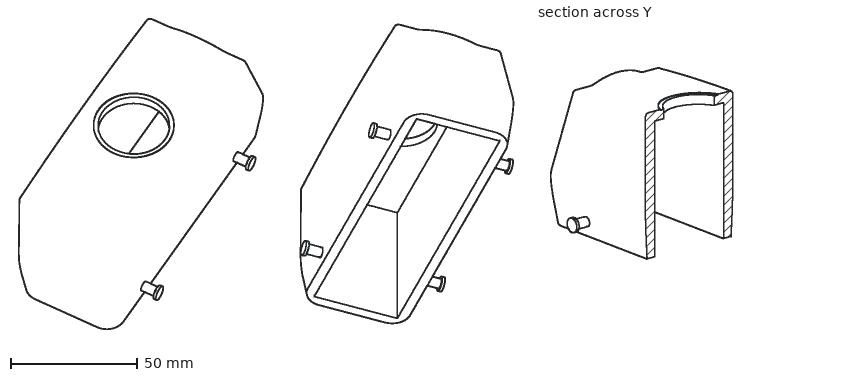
import cadquery as cq
import math

length = 120.0
half_length = length / 2
half_width = 22.7
wall = 4.1

skirt_height = 7.0
waist_height = 23.5
curve_steps = 12
loft_height = 66.0

side_arc_radius = 276.0
skirt_side_slope = (waist_height - skirt_height) / side_arc_radius

upper_corner = 1.9
skirt_corner = 5.4
base_corner = 7.7

roof_front = (-59.2, 58.8)
roof_apex = (-7.2, 61.2)
roof_back = (45.5, 59.0)
bend_height = 20.4
bend_radius = 12.0
slope_ratio = (half_length - roof_back[0]) / (roof_back[1] - bend_height)
slope_angle = math.atan(slope_ratio)
bend_tangent = bend_radius * math.tan(slope_angle / 2)
bend_start = bend_height - bend_tangent
bend_end = bend_height + bend_tangent * math.cos(slope_angle)
edge_radius = 1.8

entry_y = -5.8
entry_radius = 14.2
seat_radius = 16.0
seat_height = 60.8
ceiling_height = 56.8

grip_peak_height = 63.0
grip_radius = 24.0
grip_chord_depth = 5.4
grip_length = 14.4
grip_blend = 1.5

pin_y = 37.1
pin_height = 6.1
pin_radius = 2.0
head_radius = 3.0
head_thickness = 1.2
pin_reach = 29.5


def side_x(z):
    """Half width of the hood at height z."""
    if z >= waist_height:
        return half_width
    if z >= skirt_height:
        return half_width - (waist_height - z) ** 2 / (2 * side_arc_radius)
    return side_x(skirt_height) - skirt_side_slope * (skirt_height - z)


def front_y(z):
    """Position of the -Y end, drafted inward from the base up."""
    return -half_length + (roof_front[0] + half_length) * z / roof_front[1]


def slope_y(z):
    """Position of the sloped plane at height z."""
    return half_length - slope_ratio * (z - bend_height)


def back_y(z):
    """Position of the +Y end: vertical, rounded bend, then sloped."""
    if z <= bend_start:
        return half_length
    if z >= bend_end:
        return slope_y(z)
    return half_length - bend_radius + math.sqrt(bend_radius**2 - (z - bend_start) ** 2)


def corner_radius(z):
    """Radius of the vertical corners, widening toward the base."""
    if z >= waist_height:
        return upper_corner
    if z >= skirt_height:
        fraction = (waist_height - z) / (waist_height - skirt_height)
        return upper_corner + (skirt_corner - upper_corner) * fraction**2
    return skirt_corner + (base_corner - skirt_corner) * (1 - z / skirt_height)


def section_wire(z):
    """Rounded rectangle of the hood at height z."""
    depth = back_y(z) - front_y(z)
    middle = (back_y(z) + front_y(z)) / 2
    outline = cq.Workplane("XY").rect(2 * side_x(z), depth).extrude(1.2)
    rounded = outline.edges("|Z").fillet(corner_radius(z))
    return rounded.faces("<Z").val().outerWire().moved(cq.Location(cq.Vector(0, middle, z)))


def loft_levels(levels, ruled):
    """Solid through the hood sections at the given heights."""
    return cq.Workplane(cq.Solid.makeLoft([section_wire(z) for z in levels], ruled))


def spaced(low, high):
    """Evenly spaced heights from low to high."""
    step = (high - low) / curve_steps
    return [low + i * step for i in range(curve_steps + 1)]


def make_blank():
    """Lofted walls trimmed by the side outline with its domed roof."""
    skirt = loft_levels([0, skirt_height], True)
    flare = loft_levels(spaced(skirt_height, waist_height), False)
    upper = loft_levels([waist_height, loft_height], True)
    outline = (
        cq.Workplane("YZ")
        .moveTo(-half_length, 0)
        .lineTo(length, 0)
        .lineTo(length, roof_back[1])
        .lineTo(*roof_back)
        .threePointArc(roof_apex, roof_front)
        .close()
        .extrude(half_length, both=True)
    )
    return skirt.union(flare).union(upper).intersect(outline)


def make_grip():
    """Cylinder segment square to the sloped end, crest up."""
    crest = (0, slope_y(grip_peak_height), grip_peak_height)
    slope_plane = cq.Plane(
        origin=crest,
        xDir=(1, 0, 0),
        normal=(0, -math.cos(slope_angle), -math.sin(slope_angle)),
    )
    half_chord = math.sqrt(grip_radius**2 - (grip_radius - grip_chord_depth) ** 2)
    return (
        cq.Workplane(slope_plane)
        .moveTo(-half_chord, -grip_chord_depth)
        .threePointArc((0, 0), (half_chord, -grip_chord_depth))
        .close()
        .extrude(grip_length)
    )


def make_outside():
    """Solid hood with the grip blended in and the roof edges rounded."""
    outside = make_blank().union(make_grip())
    blend_zone = cq.selectors.BoxSelector(
        (-1.2, 0, roof_back[1]), (1.2, roof_back[0] - edge_radius, roof_apex[1])
    )
    outside = outside.edges(blend_zone).fillet(grip_blend)
    dome = outside.faces("%CYLINDER").faces(cq.selectors.AreaNthSelector(-1))
    return dome.edges().fillet(edge_radius)


def make_cavity():
    """Hollow of the hood: flat ceiling, +Y end parallel to the slope."""
    slope_shift = wall / math.cos(slope_angle)
    return (
        cq.Workplane("YZ")
        .moveTo(-half_length + wall, 0)
        .lineTo(half_length - wall, 0)
        .lineTo(half_length - wall, bend_height - wall * math.tan(slope_angle / 2))
        .lineTo(slope_y(ceiling_height) - slope_shift, ceiling_height)
        .lineTo(-half_length + wall, ceiling_height)
        .close()
        .extrude(side_x(0) - wall, both=True)
    )


def make_entry():
    """Cable hole through the roof with a shallow flat seat around it."""
    hole = (
        cq.Workplane("XY", origin=(0, entry_y, ceiling_height - wall))
        .circle(entry_radius)
        .extrude(loft_height - ceiling_height + wall)
    )
    seat = (
        cq.Workplane("XY", origin=(0, entry_y, seat_height))
        .circle(seat_radius)
        .extrude(loft_height - seat_height)
    )
    return hole.union(seat)


def make_pin(side, y):
    """Headed locking pin, side = -1 or 1 along X."""
    root = side_x(pin_height) - wall / 2
    plane = cq.Plane(origin=(side * root, y, pin_height), xDir=(0, 1, 0), normal=(side, 0, 0))
    shank_length = pin_reach - head_thickness - root
    shank = cq.Workplane(plane).circle(pin_radius).extrude(shank_length)
    head = cq.Workplane(plane).workplane(offset=shank_length).circle(head_radius).extrude(head_thickness)
    return shank.union(head)


result = make_outside().cut(make_cavity()).cut(make_entry())
for side in (-1, 1):
    for y in (-pin_y, pin_y):
        result = result.union(make_pin(side, y))